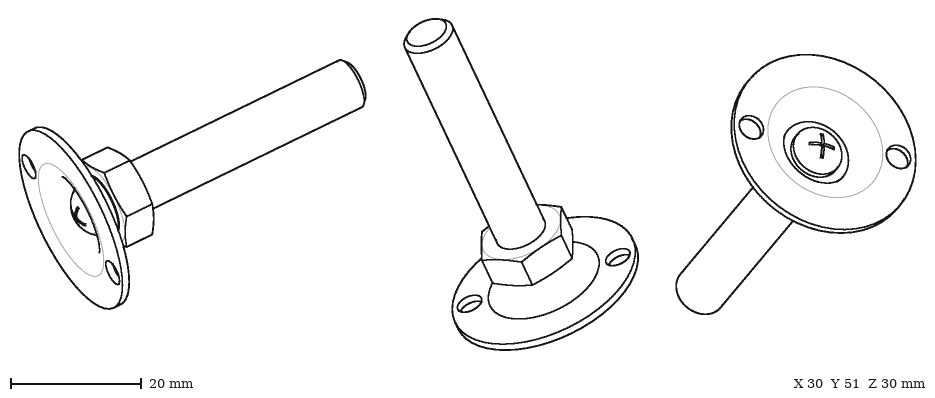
import cadquery as cq
import math

total_length = 51.0

disc_diameter = 30.0
disc_thickness = 1.2
hole_diameter = 4.0
hole_offset = 12.15

cone_base_radius = 9.1
neck_radius = 4.85
neck_start = 5.55
recess_flare_radius = 4.0
recess_floor_radius = 5.5

nut_sides = 6
nut_start = 5.7
nut_height = 5.2
nut_across_flats = 13.0
nut_bevel_angle = 15.0
nut_face_inset = 0.1

rod_diameter = 8.0
rod_chamfer = 0.75

head_collar_height = 1.0
head_crown = 0.8
cross_length = 4.1
cross_width = 0.4
cross_depth = 1.0

rod_radius = rod_diameter / 2
nut_end = nut_start + nut_height


def make_foot():
    """Revolved disc and bell, with two through holes in the disc."""
    disc_radius = disc_diameter / 2
    flare_rim_radius = recess_floor_radius + recess_flare_radius
    flare_middle = recess_flare_radius * (1 - math.sqrt(0.5))
    foot = (
        cq.Workplane("XY")
        .moveTo(0, recess_flare_radius)
        .lineTo(recess_floor_radius, recess_flare_radius)
        .threePointArc(
            (recess_floor_radius + flare_middle, flare_middle),
            (flare_rim_radius, 0),
        )
        .lineTo(disc_radius, 0)
        .lineTo(disc_radius, disc_thickness)
        .lineTo(cone_base_radius, disc_thickness)
        .lineTo(neck_radius, neck_start)
        .lineTo(neck_radius, nut_start)
        .lineTo(0, nut_start)
        .close()
        .revolve(360, (0, 0, 0), (0, 1, 0))
    )
    holes = (
        cq.Workplane("XZ")
        .pushPoints([(-hole_offset, 0), (hole_offset, 0)])
        .circle(hole_diameter / 2)
        .extrude(-disc_thickness)
    )
    return foot.cut(holes)


def make_nut():
    """Hexagon with corners on the Z axis, its corners bevelled at both faces."""
    half_side_angle = math.pi / nut_sides
    across_corners = nut_across_flats / math.cos(half_side_angle)
    corner_radius = across_corners / 2
    face_radius = nut_across_flats / 2 - nut_face_inset
    bevel_height = (corner_radius - face_radius) * math.tan(math.radians(nut_bevel_angle))
    hexagon = (
        cq.Workplane("XZ", origin=(0, nut_start, 0))
        .transformed(rotate=(0, 0, 90))
        .polygon(nut_sides, across_corners)
        .extrude(-nut_height)
    )
    bevel_envelope = (
        cq.Workplane("XY")
        .moveTo(0, nut_start)
        .lineTo(face_radius, nut_start)
        .lineTo(corner_radius, nut_start + bevel_height)
        .lineTo(corner_radius, nut_end - bevel_height)
        .lineTo(face_radius, nut_end)
        .lineTo(0, nut_end)
        .close()
        .revolve(360, (0, 0, 0), (0, 1, 0))
    )
    return hexagon.intersect(bevel_envelope)


def make_rod():
    """Plain rod with a chamfered free end."""
    return (
        cq.Workplane("XZ", origin=(0, nut_start, 0))
        .circle(rod_radius)
        .extrude(nut_start - total_length)
        .faces(">Y")
        .chamfer(rod_chamfer)
    )


def make_head():
    """Short cylinder and domed crown on the recess floor, with a cross slot in the crown."""
    collar_face = recess_flare_radius - head_collar_height
    dome_height = collar_face - head_crown
    dome_radius = (rod_radius**2 + dome_height**2) / (2 * dome_height)
    dome_centre = head_crown + dome_radius
    half_chord = rod_radius / 2
    half_chord_y = dome_centre - math.sqrt(dome_radius**2 - half_chord**2)
    head = (
        cq.Workplane("XY")
        .moveTo(0, head_crown)
        .threePointArc((half_chord, half_chord_y), (rod_radius, collar_face))
        .lineTo(rod_radius, recess_flare_radius)
        .lineTo(0, recess_flare_radius)
        .close()
        .revolve(360, (0, 0, 0), (0, 1, 0))
    )
    cross_centre = head_crown + cross_depth / 2
    for size_x, size_z in [(cross_length, cross_width), (cross_width, cross_length)]:
        slot = cq.Workplane("XY", origin=(0, cross_centre, 0)).box(size_x, cross_depth, size_z)
        head = head.cut(slot)
    return head


result = make_foot().union(make_nut()).union(make_rod()).union(make_head())